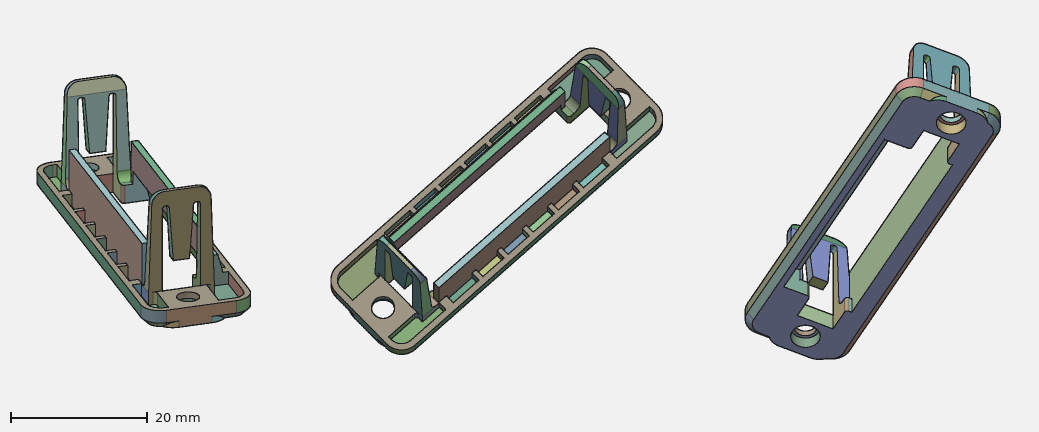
import cadquery as cq

LENGTH = 54.15
WIDTH = 16.75
HEIGHT = 19.0
BASE_HEIGHT = 3.05
RIM = 1.0
CORNER_RADIUS = 3.0
BOTTOM_CHAMFER = 1.05
FLOOR = 1.05
HALF_LENGTH = LENGTH / 2
HALF_WIDTH = WIDTH / 2

RAIL_END = 17.1
TAB_END = 16.3
CLIP_BACK = 20.45

CLIP_Y = -0.9
BAND_WIDTH = 7.75
BAND_FILLET = 0.5
OPENING_FRONT = -4.8
OPENING_BACK = 3.7
FRONT_RAIL_OUTER = -5.9
BACK_RAIL_OUTER = 4.75

RAIL_TOP = 9.5
BUTTRESS_TOP = 6.0
BUTTRESS_TOP_Y = 5.8
BUTTRESS_FOOT_Y = 7.1
BUTTRESS_WALL = 1.05
BUTTRESS_SLOPE = (BUTTRESS_FOOT_Y - BUTTRESS_TOP_Y) / (BUTTRESS_TOP - FLOOR)

RIB_COUNT = 5
RIB_PITCH = 5.05
RIB_WIDTH = 0.8
END_RIB_INNER = 15.6

CLIP_FOOT_WIDTH = 10.1
CLIP_TOP_WIDTH = 9.15
CLIP_TOP_RADIUS = 2.0
TAB_TOP = 2.9
TAB_CORNER_RADIUS = 0.5
FOOT_FILLET = 1.3
CLIP_FOOT_X = 18.6
CLIP_SHOULDER_X = 19.15
CLIP_TIP_X = 19.8
LEG_GAP = 5.85
SLOT_TOP = 16.6
SLOT_TOP_RADIUS = 0.45
TONGUE_BOTTOM = 7.65
TONGUE_TOP_WIDTH = 3.8
TONGUE_BOTTOM_WIDTH = 2.5

SCREW_X = 23.6
SCREW_DIAMETER = 3.35
COUNTERBORE_DIAMETER = 4.35
COUNTERBORE_DEPTH = 2.0
END_PAD_WIDTH = 11.05

PICK_MARGIN = 0.05


def block(x0, x1, y0, y1, z0, z1):
    """Box between two opposite corners."""
    return cq.Workplane("XY").box(x1 - x0, y1 - y0, z1 - z0, centered=False).translate((x0, y0, z0))


def along_x(points, half_length):
    """Prism with a (y, z) outline, centred on the YZ mid-plane."""
    return cq.Workplane("YZ").polyline(points).close().extrude(half_length, both=True)


def rounded_plate(inset, z0, z1):
    """Slab with the base outline moved inward by the inset."""
    return (
        cq.Workplane("XY")
        .box(LENGTH - 2 * inset, WIDTH - 2 * inset, z1 - z0, centered=(True, True, False))
        .edges("|Z")
        .fillet(CORNER_RADIUS - inset)
        .translate((0, 0, z0))
    )


def edges_inside(x0, x1, y0, y1, z0, z1):
    """Selector for edges centred in the given box, grown slightly on every side."""
    return cq.selectors.BoxSelector(
        (x0 - PICK_MARGIN, y0 - PICK_MARGIN, z0 - PICK_MARGIN),
        (x1 + PICK_MARGIN, y1 + PICK_MARGIN, z1 + PICK_MARGIN),
    )


def both_ends(shape):
    """The shape at the +X end together with its mirror image at the -X end."""
    return shape.union(shape.mirror("YZ"))


def make_tray():
    """Chamfered plate with its pocket, end bands and bottom end pads."""
    tray = rounded_plate(0, 0, BASE_HEIGHT).faces("<Z").chamfer(BOTTOM_CHAMFER)
    end_pad = (
        block(
            CLIP_BACK,
            HALF_LENGTH,
            CLIP_Y - END_PAD_WIDTH / 2,
            CLIP_Y + END_PAD_WIDTH / 2,
            0,
            BOTTOM_CHAMFER,
        )
        .edges("|Z and >X")
        .fillet(CORNER_RADIUS)
    )
    tray = tray.union(both_ends(end_pad)).cut(rounded_plate(RIM, FLOOR, BASE_HEIGHT))
    band = block(
        CLIP_BACK, HALF_LENGTH - RIM, CLIP_Y - BAND_WIDTH / 2, CLIP_Y + BAND_WIDTH / 2, FLOOR, BASE_HEIGHT
    )
    return tray.union(both_ends(band))


def make_ribs():
    """Cross ribs joining the rim to the rails, with a wider one at each end."""

    def rib(x0, x1):
        return block(x0, x1, RIM - HALF_WIDTH, HALF_WIDTH - RIM, FLOOR, BASE_HEIGHT)

    ribs = both_ends(rib(END_RIB_INNER, RAIL_END))
    for index in range(RIB_COUNT):
        middle = (index - (RIB_COUNT - 1) / 2) * RIB_PITCH
        ribs = ribs.union(rib(middle - RIB_WIDTH / 2, middle + RIB_WIDTH / 2))
    return ribs


def make_rails():
    """Plain front rail and a back rail stiffened by a sloping buttress."""
    front = block(-RAIL_END, RAIL_END, FRONT_RAIL_OUTER, OPENING_FRONT, 0, RAIL_TOP)
    back = along_x(
        [
            (OPENING_BACK, FLOOR),
            (OPENING_BACK, RAIL_TOP),
            (BACK_RAIL_OUTER, RAIL_TOP),
            (BACK_RAIL_OUTER, BUTTRESS_TOP),
            (BUTTRESS_TOP_Y, BUTTRESS_TOP),
            (BUTTRESS_FOOT_Y, FLOOR),
        ],
        RAIL_END,
    )
    return front.union(back)


def make_openings():
    """Window between the rails and the undercut that hollows the buttress."""
    window = block(-CLIP_BACK, CLIP_BACK, OPENING_FRONT, OPENING_BACK, 0, RAIL_TOP)
    undercut_top = BUTTRESS_TOP - BUTTRESS_WALL
    undercut_foot_y = BUTTRESS_FOOT_Y + BUTTRESS_SLOPE * FLOOR - BUTTRESS_WALL
    undercut = along_x(
        [
            (OPENING_BACK, 0),
            (OPENING_BACK, undercut_top),
            (undercut_foot_y - BUTTRESS_SLOPE * undercut_top, undercut_top),
            (undercut_foot_y, 0),
        ],
        TAB_END,
    )
    return window.union(undercut)


def make_leg_gap():
    """Clear space between the two legs, leaving the tongue hanging from the top."""
    gap = (
        cq.Workplane("YZ")
        .center(CLIP_Y, 0)
        .rect(LEG_GAP, 2 * SLOT_TOP)
        .extrude(CLIP_BACK)
        .cut(
            cq.Workplane("YZ")
            .center(CLIP_Y, 0)
            .polyline(
                [
                    (-TONGUE_BOTTOM_WIDTH / 2, TONGUE_BOTTOM),
                    (TONGUE_BOTTOM_WIDTH / 2, TONGUE_BOTTOM),
                    (TONGUE_TOP_WIDTH / 2, SLOT_TOP),
                    (-TONGUE_TOP_WIDTH / 2, SLOT_TOP),
                ]
            )
            .close()
            .extrude(CLIP_BACK)
        )
    )
    slot_top_edges = edges_inside(0, CLIP_BACK, -HALF_WIDTH, HALF_WIDTH, SLOT_TOP, SLOT_TOP)
    return gap.edges("|X").edges(slot_top_edges).fillet(SLOT_TOP_RADIUS)


def make_clip():
    """Forked spring clip at the +X end, standing on two tabs."""
    shoulder_z = HEIGHT - CLIP_TOP_RADIUS
    fillet_top = TAB_TOP + FOOT_FILLET
    profile = (
        cq.Workplane("XZ")
        .moveTo(CLIP_BACK, 0)
        .lineTo(CLIP_BACK, HEIGHT)
        .lineTo(CLIP_TIP_X, HEIGHT)
        .lineTo(CLIP_SHOULDER_X, shoulder_z)
        .lineTo(CLIP_FOOT_X, fillet_top)
        .radiusArc((CLIP_FOOT_X - FOOT_FILLET, TAB_TOP), FOOT_FILLET)
        .lineTo(TAB_END, TAB_TOP)
        .lineTo(TAB_END, 0)
        .close()
        .extrude(HALF_WIDTH, both=True)
    )
    half_foot = CLIP_FOOT_WIDTH / 2
    half_top = CLIP_TOP_WIDTH / 2
    half_flat = half_top - CLIP_TOP_RADIUS
    outline = (
        cq.Workplane("YZ")
        .center(CLIP_Y, 0)
        .moveTo(-half_foot, 0)
        .lineTo(half_foot, 0)
        .lineTo(half_foot, TAB_TOP)
        .lineTo(half_top, shoulder_z)
        .radiusArc((half_flat, HEIGHT), -CLIP_TOP_RADIUS)
        .lineTo(-half_flat, HEIGHT)
        .radiusArc((-half_top, shoulder_z), -CLIP_TOP_RADIUS)
        .lineTo(-half_foot, TAB_TOP)
        .close()
        .extrude(CLIP_BACK)
    )
    clip = profile.intersect(outline).cut(make_leg_gap())
    tab_corners = edges_inside(
        TAB_END, TAB_END, CLIP_Y - LEG_GAP / 2, CLIP_Y + LEG_GAP / 2, 0, TAB_TOP
    )
    return clip.edges("|Z").edges(tab_corners).fillet(TAB_CORNER_RADIUS)


def round_band_corners(body):
    """Small fillets where the end bands meet the backs of the clips."""
    for side in (-1, 1):
        for y in (CLIP_Y - BAND_WIDTH / 2, CLIP_Y + BAND_WIDTH / 2):
            x = side * CLIP_BACK
            corner = edges_inside(x, x, y, y, FLOOR, BASE_HEIGHT)
            body = body.edges("|Z").edges(corner).fillet(BAND_FILLET)
    return body


def drill_screw_holes(body):
    """Screw holes through the end bands, counterbored from below."""
    places = [(-SCREW_X, CLIP_Y), (SCREW_X, CLIP_Y)]
    bores = cq.Workplane("XY").pushPoints(places).circle(SCREW_DIAMETER / 2).extrude(BASE_HEIGHT)
    heads = cq.Workplane("XY").pushPoints(places).circle(COUNTERBORE_DIAMETER / 2).extrude(COUNTERBORE_DEPTH)
    return body.cut(bores).cut(heads)


body = make_tray().union(make_ribs()).union(make_rails()).cut(make_openings())
body = body.union(both_ends(make_clip()))
result = drill_screw_holes(round_band_corners(body))